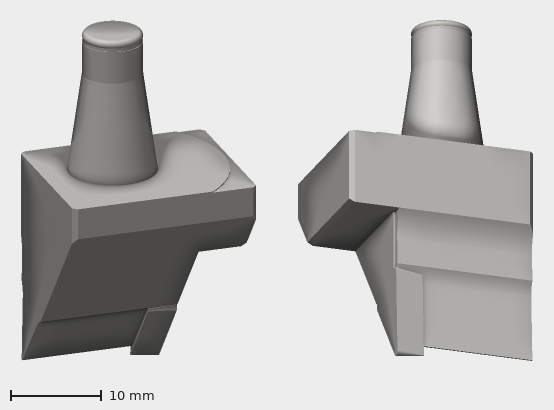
import cadquery as cq
import math


LEFT_X = -8.0
BLOCK_WIDTH = 18.0
RIGHT_X = LEFT_X + BLOCK_WIDTH
FRONT_Y = -8.08
BLOCK_DEPTH = 21.5
REAR_Y = FRONT_Y + BLOCK_DEPTH
SEAT_REAR_Y = 7.95
FLANGE_BOTTOM_Z = -8.65
SLOPE_TOP_Z = -3.55
CHAMFER = 0.5
TOP_RADIUS = 12.95
TOP_STEP = 0.13

RELIEF_END = (-7.15, -11.75)
LAND_END = (-7.25, -15.0)
GROOVE_END = (-6.9, -16.65)
TIP_LEFT = (-7.25, -24.45)
TIP_RIGHT = (-7.05, -24.45)
JOG_INNER = (-1.8, -17.98)
JOG_OUTER = (-0.98, -17.55)

STEP_DEPTH = 0.25
STEP_X = -6.6

SHANK_HEIGHT = 16.4
SHANK_RADIUS = 6.75 / 2
CONE_BASE_RADIUS = 5.0
CONE_HEIGHT = 11.48
NECK_BOTTOM_Z = 15.2
NECK_TOP_Z = 15.6
NECK_RADIUS = SHANK_RADIUS - 0.1
TOP_FACE_RADIUS = 2.9

INSERT_THICKNESS = 3.25
INSERT_RELIEF = 7.0
INSERT_TIP = (-8.05, -27.07)
TIP_ROUND = 0.45
INSERT_LEFT_TOP = (-7.52, -15.9)
INSERT_INNER_LEFT = (-7.15, -15.4)
INSERT_RIGHT_TOP = (-1.25, -17.72)
INSERT_RIGHT_LOW = (-1.25, -18.4)


def box_between(x0, x1, y0, y1, z0, z1):
    """Box given by its limits along each axis."""
    return cq.Workplane("XY").box(x1 - x0, y1 - y0, z1 - z0, centered=False).translate((x0, y0, z0))


def tangent_arc_middle(start, end, end_direction):
    """Middle point of the arc from start to end that arrives along end_direction."""
    chord_x = end[0] - start[0]
    chord_z = end[1] - start[1]
    end_angle = math.atan2(end_direction[1], end_direction[0])
    half_turn = end_angle - math.atan2(chord_z, chord_x)
    bulge = math.tan(half_turn / 2) / 2
    return (
        (start[0] + end[0]) / 2 + bulge * chord_z,
        (start[1] + end[1]) / 2 - bulge * chord_x,
    )


def make_insert():
    """Pointed insert that narrows toward the front, with a rounded tip."""
    corners = [INSERT_LEFT_TOP, INSERT_TIP, INSERT_RIGHT_LOW,
               INSERT_RIGHT_TOP, INSERT_INNER_LEFT]
    outline = (
        cq.Sketch()
        .polygon(corners + [corners[0]])
        .vertices("<Y").fillet(TIP_ROUND)
    )
    return (
        cq.Workplane("XZ", origin=(0, SEAT_REAR_Y, 0))
        .placeSketch(outline)
        .extrude(INSERT_THICKNESS, taper=INSERT_RELIEF)
    )


def make_block():
    """Wedge-shaped block with a flange at the rear and a blade below it."""
    relief_start = (LEFT_X, FLANGE_BOTTOM_Z)
    land = (LAND_END[0] - RELIEF_END[0], LAND_END[1] - RELIEF_END[1])
    edge = (TIP_LEFT[0] - GROOVE_END[0], TIP_LEFT[1] - GROOVE_END[1])
    block = (
        cq.Workplane("XZ", origin=(0, REAR_Y, 0))
        .moveTo(LEFT_X, 0)
        .lineTo(*relief_start)
        .threePointArc(tangent_arc_middle(relief_start, RELIEF_END, land), RELIEF_END)
        .lineTo(*LAND_END)
        .threePointArc(tangent_arc_middle(LAND_END, GROOVE_END, edge), GROOVE_END)
        .lineTo(*TIP_LEFT)
        .lineTo(*TIP_RIGHT)
        .lineTo(*JOG_INNER)
        .lineTo(*JOG_OUTER)
        .lineTo(RIGHT_X, SLOPE_TOP_Z)
        .lineTo(RIGHT_X, 0)
        .close()
        .extrude(BLOCK_DEPTH)
    )
    below_flange = box_between(LEFT_X, RIGHT_X, SEAT_REAR_Y, REAR_Y, TIP_LEFT[1], FLANGE_BOTTOM_Z)
    edge_step = box_between(LEFT_X, STEP_X, SEAT_REAR_Y - STEP_DEPTH, SEAT_REAR_Y,
                            INSERT_INNER_LEFT[1], FLANGE_BOTTOM_Z)
    block = block.cut(below_flange).cut(edge_step)

    corners = (
        box_between(LEFT_X, RIGHT_X, FRONT_Y, REAR_Y, TIP_LEFT[1], 0)
        .edges("|Z").chamfer(CHAMFER)
    )
    rear_edge = (
        cq.Workplane("YZ", origin=(LEFT_X, 0, 0))
        .polyline([(REAR_Y - CHAMFER, FLANGE_BOTTOM_Z), (REAR_Y, FLANGE_BOTTOM_Z),
                   (REAR_Y, FLANGE_BOTTOM_Z + CHAMFER)])
        .close().extrude(BLOCK_WIDTH)
    )
    top_step = (
        box_between(LEFT_X, RIGHT_X, 0, REAR_Y, -TOP_STEP, 0)
        .cut(cq.Workplane("XY").circle(TOP_RADIUS).extrude(-TOP_STEP))
    )
    return block.intersect(corners).cut(rear_edge).cut(top_step)


def make_shank():
    """Conical shank with a cylindrical end, a shallow neck and a rounded rim."""
    rim_height = SHANK_HEIGHT - NECK_TOP_Z
    rim_middle = (SHANK_RADIUS - 0.13, SHANK_HEIGHT - rim_height / 4)
    return (
        cq.Workplane("XZ")
        .lineTo(CONE_BASE_RADIUS, 0)
        .lineTo(SHANK_RADIUS, CONE_HEIGHT)
        .lineTo(SHANK_RADIUS, NECK_BOTTOM_Z)
        .lineTo(NECK_RADIUS, NECK_BOTTOM_Z)
        .lineTo(NECK_RADIUS, NECK_TOP_Z)
        .threePointArc(rim_middle, (TOP_FACE_RADIUS, SHANK_HEIGHT))
        .lineTo(0, SHANK_HEIGHT)
        .close()
        .revolve(360, (0, 0, 0), (0, 1, 0))
    )


insert = make_insert()
holder = make_block().union(make_shank()).cut(insert)

result = cq.Compound.makeCompound([holder.solids().val(), insert.solids().val()])